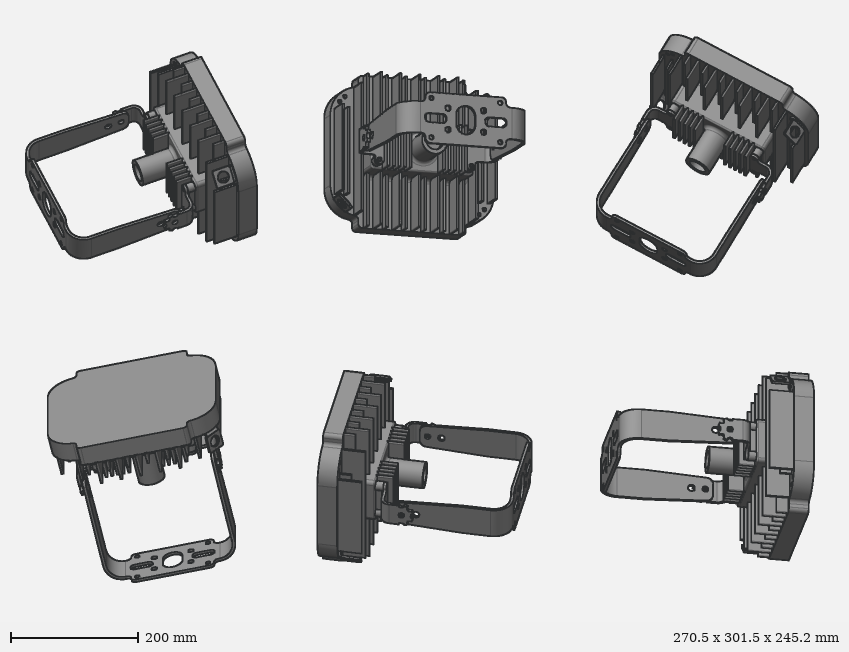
import cadquery as cq
import math


plate_width = 270.5
plate_height = 207.8
plate_corner = 47.5
plate_depth = 31.7
tab_width = 178.0
tab_height = 245.2
tab_edge = 6.5

box_width = 169.5
box_height = 74.8
box_corner = 6.0
box_depth = 82.5
box_root = 6.3
box_rim = 2.7

fin_pitch = 15.85
fin_thickness = 3.5
long_fin_depth = 69.7
short_fin_depth = 50.5
fins_each_side = 8
edge_fin_count = 5
shoulder_fin = 6
shoulder_fin_height = 205.7
side_fin_top = 66.7
left_fin_bottom = -71.5
right_fin_bottom = -69.0

small_fin_first = 27.5
small_fin_pitch = 9.2
small_fin_count = 5
small_fin_thickness = 4.0
small_fin_depth = 108.0

hub_radius = 21.0
hub_depth = 145.7
hub_root = 6.0
bore_radius = 14.2
bore_length = 13.5

boss_x = 76.0
boss_z = 25.5
boss_radius = 7.5
boss_depth = 95.3
boss_hole_radius = 3.3
boss_hole_length = 9.0
rib_thickness = 6.0
rib_depth = 92.0

sheet = 4.8

arm_width = 36.5
arm_inner_x = 68.5
arm_outer_x = 112.5
arm_bend = 15.0
lobe_x = 75.5
lobe_z = 25.3
lobe_radius = 7.0
lobe_fillet = 6.0
pivot_depth = 130.15
pivot_radius = 4.5
arm_end_radius = 19.3
notch_radius = 4.5
notch_step = 45

yoke_depth = 301.5
yoke_half_width = 106.2
yoke_bend = 30.2
yoke_end_depth = 117.5
yoke_end_corner = 11.2
yoke_end_half = 19.5
yoke_half_height = 25.2
taper_end_depth = 226.2
stop_hole_depth = 152.3
stop_hole_radius = 5.5
base_width = 133.3
base_height = 81.7
base_fillet = 7.5
corner_hole = (57.0, 31.7)
corner_hole_radius = 3.5
inner_hole = (29.4, 17.35)
inner_hole_radius = 4.5
slot_x = 49.8
slot_length = 36.2
slot_width = 14.8
centre_slot_length = 45.8
centre_slot_width = 32.0

lug_inner_u = 133.77
lug_outer_u = 150.8
lug_sheet = 3.5
lug_centre_v = 23.0
lug_foot_width = 24.7
lug_plate_width = 29.3
lug_plate_start = 37.5
lug_depth = 66.7
lug_corner = 3.0
lug_hole_u = 140.3
lug_hole_spacing = 12.5
lug_hole_radius = 3.0
lug_hole_length = 9.0
eye_depth = 52.0
eye_radius = 9.0


def at_depth(depth):
    """Plane facing -Y at a given depth, with local axes X and Z."""
    return cq.Workplane("XZ", origin=(0, -depth, 0))


def block(x_range, depth_range, z_range):
    """Box between two x values, two depths and two heights."""
    (x0, x1), (d0, d1), (z0, z1) = x_range, depth_range, z_range
    return cq.Workplane("XY").box(x1 - x0, d1 - d0, z1 - z0, centered=False).translate((x0, -d1, z0))


def corners(x, z):
    """The four points mirrored about both axes."""
    return [(sx * x, sz * z) for sx in (-1, 1) for sz in (-1, 1)]


def lug_point(u, v):
    """X and Z of a point in the lug frame at the upper right corner."""
    return ((u + v) / math.sqrt(2), (u - v) / math.sqrt(2))



def face_plate():
    wide = at_depth(0).rect(plate_width, plate_height).extrude(plate_depth)
    wide = wide.edges("|Y").fillet(plate_corner)
    tab = at_depth(0).rect(tab_width, tab_height).extrude(plate_depth)
    plate = wide.union(tab)
    tab_side = cq.selectors.BoxSelector(
        (-tab_width / 2 - 3, -plate_depth, -tab_height), (tab_width / 2 + 3, 0, tab_height)
    )
    return plate.edges("|Y").edges(tab_side).fillet(tab_edge)


def driver_box():
    box = at_depth(plate_depth).rect(box_width, box_height).extrude(box_depth - plate_depth)
    return box.edges("|Y").fillet(box_corner).faces("<Y").edges().fillet(box_rim)


def cable_hub():
    """Hub with a flared foot, turned about the Y axis."""
    flare = hub_root * (1 - math.sqrt(0.5))
    return (
        cq.Workplane("XY")
        .moveTo(0, -box_depth)
        .lineTo(hub_radius + hub_root, -box_depth)
        .threePointArc((hub_radius + flare, -box_depth - flare), (hub_radius, -box_depth - hub_root))
        .lineTo(hub_radius, -hub_depth)
        .lineTo(bore_radius, -hub_depth)
        .lineTo(bore_radius, -hub_depth + bore_length)
        .lineTo(0, -hub_depth + bore_length)
        .close()
        .revolve(360, (0, 0, 0), (0, 1, 0))
    )


def rounded_fin(x, height, thickness, start_depth, end_depth):
    """Fin with fully rounded upper and lower ends."""
    return at_depth(start_depth).center(x, 0).slot2D(height, thickness, 90).extrude(end_depth - start_depth)


def plate_fin(index):
    x = index * fin_pitch
    depth = long_fin_depth if index % 2 == 0 else short_fin_depth
    if abs(index) <= edge_fin_count:
        return rounded_fin(x, tab_height, fin_thickness, plate_depth, depth)
    if abs(index) == shoulder_fin:
        bottom, top = -shoulder_fin_height / 2, shoulder_fin_height / 2
    else:
        bottom, top = (left_fin_bottom if x < 0 else right_fin_bottom), side_fin_top
    half = fin_thickness / 2
    return block((x - half, x + half), (plate_depth, depth), (bottom, top))


def small_fins():
    foot_depth = box_depth - box_rim
    fins = cq.Workplane("XY")
    for side in (-1, 1):
        for i in range(small_fin_count):
            x = side * (small_fin_first + i * small_fin_pitch)
            fins = fins.union(rounded_fin(x, box_height, small_fin_thickness, foot_depth, small_fin_depth))
    return fins


def boss_ribs():
    ribs = cq.Workplane("XY")
    for x in (-boss_x, boss_x):
        ribs = ribs.union(
            block(
                (x - rib_thickness / 2, x + rib_thickness / 2),
                (box_depth - box_rim, rib_depth),
                (-boss_z, boss_z),
            )
        )
    return ribs


def lug_holes():
    """Two screw holes on every corner of the plate."""
    points = []
    for offset in (-lug_hole_spacing / 2, lug_hole_spacing / 2):
        points += corners(*lug_point(lug_hole_u, lug_centre_v + offset))
    return at_depth(plate_depth - lug_hole_length).pushPoints(points).circle(lug_hole_radius).extrude(lug_hole_length)


def make_housing():
    body = face_plate().union(driver_box())
    body = body.edges(
        cq.selectors.BoxSelector(
            (-box_width / 2 - 0.3, -plate_depth - 0.3, -box_height / 2 - 0.3),
            (box_width / 2 + 0.3, -plate_depth + 0.3, box_height / 2 + 0.3),
            boundingbox=True,
        )
    ).fillet(box_root)
    body = body.union(cable_hub())
    for index in range(-fins_each_side, fins_each_side + 1):
        body = body.union(plate_fin(index))
    boss_foot = box_depth - box_rim
    boss_points = corners(boss_x, boss_z)
    bosses = at_depth(boss_foot).pushPoints(boss_points).circle(boss_radius).extrude(boss_depth - boss_foot)
    body = body.union(small_fins()).union(bosses).union(boss_ribs())
    boss_holes = (
        at_depth(boss_depth - boss_hole_length)
        .pushPoints(boss_points)
        .circle(boss_hole_radius)
        .extrude(boss_hole_length)
    )
    return body.cut(boss_holes).cut(lug_holes())



def arm_flange():
    """Flat plate on two bosses, with a rounded lobe at each boss."""
    strip_end = arm_outer_x - arm_bend
    half_height = lobe_z + lobe_radius
    lobes = block(
        (-lobe_x - lobe_radius, -arm_inner_x),
        (boss_depth, boss_depth + sheet),
        (-half_height, half_height),
    ).edges("|Y").fillet(lobe_radius - 0.03)
    strip = block((-strip_end, -arm_inner_x), (boss_depth, boss_depth + sheet), (-arm_width / 2, arm_width / 2))
    return lobes.union(strip)


def make_left_arm():
    height = (-arm_width / 2, arm_width / 2)
    outer = block((-arm_outer_x, -lobe_x), (boss_depth, pivot_depth), height)
    outer = outer.edges("|Z and <X and >Y").fillet(arm_bend)
    inner = block((-arm_outer_x + sheet, -lobe_x), (boss_depth + sheet, pivot_depth), height)
    inner = inner.edges("|Z and <X and >Y").fillet(arm_bend - sheet)
    arm = outer.cut(inner).union(arm_flange())
    arm = arm.edges(
        cq.selectors.BoxSelector(
            (-lobe_x - lobe_radius - 0.3, -boss_depth - sheet, -arm_width / 2 - 0.3),
            (-lobe_x - lobe_radius + 0.3, -boss_depth, arm_width / 2 + 0.3),
        )
    ).edges("|Y").fillet(lobe_fillet)

    pivot = cq.Workplane("YZ", origin=(-arm_outer_x, -pivot_depth, 0))
    arm = arm.union(pivot.circle(arm_end_radius).extrude(sheet))
    for angle in range(-90, 91, notch_step):
        y = -arm_end_radius * math.cos(math.radians(angle))
        z = arm_end_radius * math.sin(math.radians(angle))
        arm = arm.cut(pivot.center(y, z).circle(notch_radius).extrude(sheet))
    arm = arm.cut(pivot.circle(pivot_radius).extrude(sheet))
    boss_screws = at_depth(boss_depth).pushPoints([(-boss_x, -boss_z), (-boss_x, boss_z)])
    return arm.cut(boss_screws.circle(boss_hole_radius).extrude(sheet))



def yoke_strip():
    """U-shaped strip whose legs narrow towards rounded ends."""
    height = (-yoke_half_height, yoke_half_height)
    inner_half = yoke_half_width - sheet
    outer = block((-yoke_half_width, yoke_half_width), (yoke_end_depth, yoke_depth), height)
    outer = outer.edges("|Z and <Y").fillet(yoke_bend)
    inner = block((-inner_half, inner_half), (yoke_end_depth, yoke_depth - sheet), height)
    inner = inner.edges("|Z and <Y").fillet(yoke_bend - sheet)
    side_outline = (
        cq.Workplane("YZ", origin=(-yoke_half_width, 0, 0))
        .polyline([
            (-yoke_end_depth, -yoke_end_half),
            (-yoke_end_depth, yoke_end_half),
            (-taper_end_depth, yoke_half_height),
            (-yoke_depth, yoke_half_height),
            (-yoke_depth, -yoke_half_height),
            (-taper_end_depth, -yoke_half_height),
        ])
        .close()
        .extrude(2 * yoke_half_width)
        .edges("|X and >Y")
        .fillet(yoke_end_corner)
    )
    return outer.cut(inner).intersect(side_outline)


def yoke_base():
    """Mounting plate with rounded shoulders that run into the strip."""
    start = at_depth(yoke_depth - sheet)
    plate = start.rect(base_width, base_height).extrude(sheet).edges("|Y").fillet(base_fillet)
    strip = start.rect(2 * (yoke_half_width - yoke_bend), 2 * yoke_half_height).extrude(sheet)
    base = plate.union(strip)
    shoulder = cq.selectors.BoxSelector(
        (-base_width / 2 - 0.3, -yoke_depth, -yoke_half_height - 0.3),
        (base_width / 2 + 0.3, -yoke_depth + sheet, yoke_half_height + 0.3),
    )
    return base.edges("|Y").edges(shoulder).fillet(base_fillet)


def make_yoke():
    yoke = yoke_strip().union(yoke_base())
    inner_depth = yoke_depth - sheet
    openings = [
        at_depth(inner_depth).pushPoints(corners(*corner_hole)).circle(corner_hole_radius),
        at_depth(inner_depth).pushPoints(corners(*inner_hole)).circle(inner_hole_radius),
        at_depth(inner_depth).pushPoints([(-slot_x, 0), (slot_x, 0)]).slot2D(slot_length, slot_width),
        at_depth(inner_depth).slot2D(centre_slot_length, centre_slot_width, 90),
    ]
    for opening in openings:
        yoke = yoke.cut(opening.extrude(sheet))
    for depth, radius in ((pivot_depth, pivot_radius), (stop_hole_depth, stop_hole_radius)):
        leg = cq.Workplane("YZ", origin=(-yoke_half_width, -depth, 0))
        yoke = yoke.cut(leg.circle(radius).extrude(2 * yoke_half_width))
    return yoke



def make_lug(angle):
    """Bent lug, built along +X and then turned about Y onto its corner."""
    bend = 2 * lug_sheet
    foot_v = (-lug_foot_width / 2, lug_foot_width / 2)
    plate_v = (-lug_plate_width / 2, lug_plate_width / 2)
    outer = block((lug_inner_u, lug_outer_u), (plate_depth, lug_depth - lug_corner), foot_v)
    outer = outer.edges("|Z and >X and >Y").fillet(bend)
    inner = block((lug_inner_u, lug_outer_u - lug_sheet), (plate_depth + lug_sheet, lug_depth), foot_v)
    inner = inner.edges("|Z and >X and >Y").fillet(bend - lug_sheet)
    lug = outer.cut(inner).edges("|Y and <X").fillet(lug_corner)
    plate = block((lug_outer_u - lug_sheet, lug_outer_u), (lug_plate_start, lug_depth), plate_v)
    lug = lug.union(plate.edges("|X").fillet(lug_corner))
    screw_points = [(lug_hole_u, -lug_hole_spacing / 2), (lug_hole_u, lug_hole_spacing / 2)]
    lug = lug.cut(at_depth(plate_depth).pushPoints(screw_points).circle(lug_hole_radius).extrude(lug_sheet))
    eye = cq.Workplane("YZ", origin=(lug_outer_u - lug_sheet, -eye_depth, 0))
    lug = lug.cut(eye.circle(eye_radius).extrude(lug_sheet))
    return lug.translate((0, 0, -lug_centre_v)).rotate((0, 0, 0), (0, 1, 0), angle)


housing = make_housing()
left_arm = make_left_arm()
arms = [left_arm, left_arm.mirror("YZ")]
yoke = make_yoke()
lugs = [make_lug(angle) for angle in (-45, 135)]

result = cq.Compound.makeCompound([
    housing.val(),
    *[arm.val() for arm in arms],
    yoke.val(),
    *[lug.val() for lug in lugs],
])